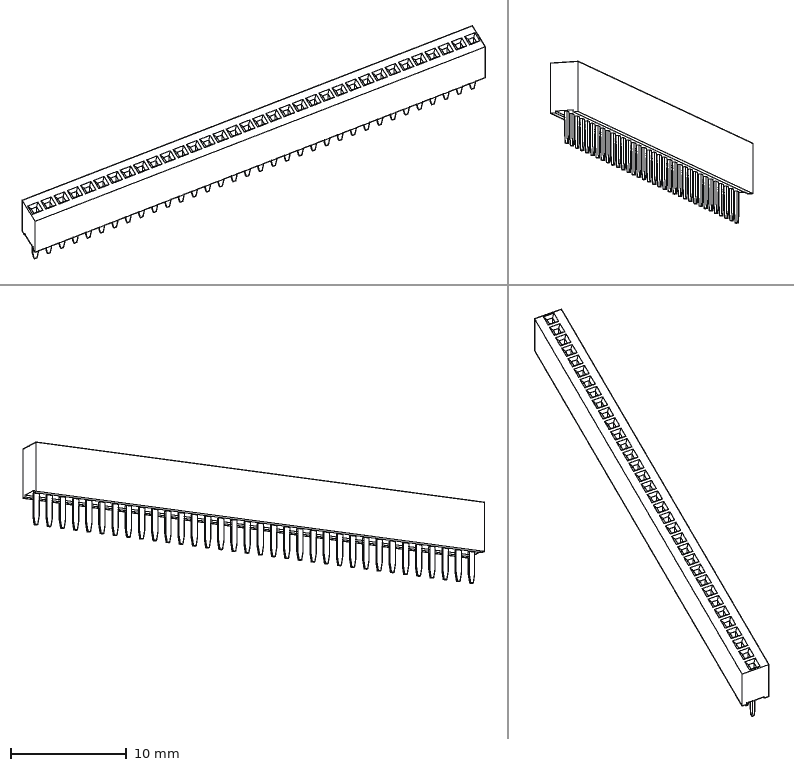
import cadquery as cq

contact_count = 34
length = 43.2
width = 2.55
total_height = 7.0
body_height = 4.4
pitch = length / contact_count

relief_width = 1.65
relief_depth = 0.17

mouth_size = 1.0
lead_in_depth = 0.25
hole_size = 0.5
hole_floor_depth = 1.73
bore_size = 0.2
bore_floor_depth = 3.02

pin_thickness = 0.2
pin_width = 0.5
tip_width = 0.25
tip_height = 0.78

pin_tip_z = body_height - total_height
tip_start_z = pin_tip_z + tip_height
contact_points = [(0, (i - (contact_count - 1) / 2) * pitch) for i in range(contact_count)]


def make_housing():
    body = cq.Workplane("XY").box(width, length, body_height, centered=(True, True, False))
    relief = cq.Workplane("XY").box(relief_width, length, relief_depth, centered=(True, True, False))
    return body.cut(relief)


def square_shaft(size, top_depth, bottom_depth):
    """Square prism between two depths below the top face."""
    base = cq.Workplane("XY", origin=(0, 0, body_height - bottom_depth))
    return base.rect(size, size).extrude(bottom_depth - top_depth)


def make_socket():
    lead_in = (
        cq.Workplane("XY", origin=(0, 0, body_height))
        .rect(mouth_size, mouth_size)
        .workplane(offset=-lead_in_depth)
        .rect(hole_size, hole_size)
        .loft(ruled=True)
    )
    hole = square_shaft(hole_size, lead_in_depth, hole_floor_depth)
    bore = square_shaft(bore_size, hole_floor_depth, bore_floor_depth)
    return lead_in.union(hole).union(bore)


def make_pin():
    outline = [
        (-pin_width / 2, relief_depth),
        (-pin_width / 2, tip_start_z),
        (-tip_width / 2, pin_tip_z),
        (tip_width / 2, pin_tip_z),
        (pin_width / 2, tip_start_z),
        (pin_width / 2, relief_depth),
    ]
    return cq.Workplane("YZ").polyline(outline).close().extrude(pin_thickness / 2, both=True)


def at_every_contact(shape):
    solid = shape.val()
    return cq.Workplane("XY").pushPoints(contact_points).eachpoint(lambda place: solid.moved(place))


sockets = at_every_contact(make_socket())
pins = at_every_contact(make_pin())
body = make_housing().cut(sockets).union(pins)
result = cq.Workplane("XY").newObject([body.solids().val()])